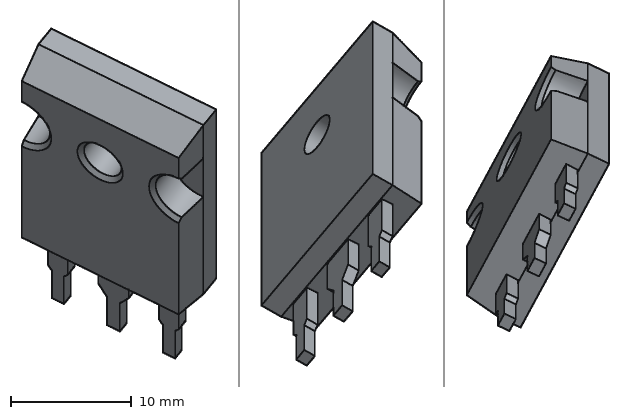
import cadquery as cq

WIDTH = 16.2
TOTAL_HEIGHT = 30.62
LEAD_LENGTH = 8.55
BODY_HEIGHT = TOTAL_HEIGHT - LEAD_LENGTH
PLATE_THICKNESS = 2.0
COVER_THICKNESS = 3.2

SIDE_DRAFT = 0.4
BOTTOM_DRAFT = 0.4
TOP_SLOPE_RUN = 1.25

HOLE_Z = TOTAL_HEIGHT - 6.85
HOLE_RADIUS = 1.85
NOTCH_RADIUS = 2.5
NOTCH_CENTER_X = WIDTH / 2 - SIDE_DRAFT
RIM_CHAMFER = 0.4

LEAD_PITCH = 5.45
LEAD_THICKNESS = 1.07
LEAD_GAP_TO_PLATE = 0.1
OUTER_LEAD = {"width": 1.95, "tip_width": 1.2, "taper_bottom": 3.58, "taper_top": 4.07}
MIDDLE_LEAD = {"width": 3.0, "tip_width": 1.3, "taper_bottom": 3.67, "taper_top": 4.9}


def section(y):
    """Sketch plane parallel to XZ at the given Y, with its normal along -Y."""
    return cq.Workplane("XZ", origin=(0, y, 0))


def rectangle_wire(y, half_width, bottom, top):
    corners = [(-half_width, bottom), (half_width, bottom), (half_width, top), (-half_width, top)]
    return section(y).polyline(corners).close().val()


def make_hole_cutter():
    """Through hole with a conical rim at the front of the cover."""
    hole_length = PLATE_THICKNESS + COVER_THICKNESS
    hole = section(PLATE_THICKNESS).center(0, HOLE_Z).circle(HOLE_RADIUS).extrude(hole_length)
    rim = (
        section(-COVER_THICKNESS).center(0, HOLE_Z).circle(HOLE_RADIUS + RIM_CHAMFER)
        .workplane(offset=-RIM_CHAMFER).circle(HOLE_RADIUS).loft(ruled=True)
    )
    return hole.union(rim)


def make_notch_cutter(side):
    """Round-ended notch, open to the side (-1 left, +1 right), with a chamfered rim."""
    center_x = side * NOTCH_CENTER_X
    open_x = side * WIDTH / 2

    def outline(y, radius):
        return (
            section(y).moveTo(open_x, HOLE_Z + radius).lineTo(center_x, HOLE_Z + radius)
            .threePointArc((center_x - side * radius, HOLE_Z), (center_x, HOLE_Z - radius))
            .lineTo(open_x, HOLE_Z - radius).close()
        )

    notch = outline(0, NOTCH_RADIUS).extrude(COVER_THICKNESS)
    rim = cq.Solid.makeLoft(
        [
            outline(-COVER_THICKNESS, NOTCH_RADIUS + RIM_CHAMFER).val(),
            outline(RIM_CHAMFER - COVER_THICKNESS, NOTCH_RADIUS).val(),
        ],
        True,
    )
    return notch.union(cq.Workplane(rim))


def make_plate():
    """Flat rear plate with the mounting hole through it."""
    blank = section(PLATE_THICKNESS).center(0, LEAD_LENGTH + BODY_HEIGHT / 2)
    return blank.rect(WIDTH, BODY_HEIGHT).extrude(PLATE_THICKNESS).cut(make_hole_cutter())


def make_cover():
    """Tapered front cover with the mounting hole and two side notches."""
    back = rectangle_wire(0, WIDTH / 2, LEAD_LENGTH, TOTAL_HEIGHT)
    front = rectangle_wire(
        -COVER_THICKNESS, WIDTH / 2 - SIDE_DRAFT, LEAD_LENGTH + BOTTOM_DRAFT, TOTAL_HEIGHT - TOP_SLOPE_RUN
    )
    cover = cq.Workplane(cq.Solid.makeLoft([back, front], True)).cut(make_hole_cutter())
    for side in (-1, 1):
        cover = cover.cut(make_notch_cutter(side))
    return cover


def make_lead(x, cover, width, tip_width, taper_bottom, taper_top):
    """Stepped flat lead, its top trimmed to sit flush against the cover's sloped underside."""
    untrimmed_top = LEAD_LENGTH + BOTTOM_DRAFT
    right_edge = [
        (tip_width / 2, 0),
        (tip_width / 2, taper_bottom),
        (width / 2, taper_top),
        (width / 2, untrimmed_top),
    ]
    left_edge = [(-edge_x, edge_z) for edge_x, edge_z in reversed(right_edge)]
    blank = section(-LEAD_GAP_TO_PLATE).polyline(right_edge + left_edge).close().extrude(LEAD_THICKNESS)
    return blank.translate((x, 0, 0)).cut(cover)


plate = make_plate()
cover = make_cover()
leads = []
for position, shape in ((-1, OUTER_LEAD), (0, MIDDLE_LEAD), (1, OUTER_LEAD)):
    leads.append(make_lead(position * LEAD_PITCH, cover, **shape))

bodies = [plate, cover, *leads]
result = cq.Compound.makeCompound([body.solids().val() for body in bodies])